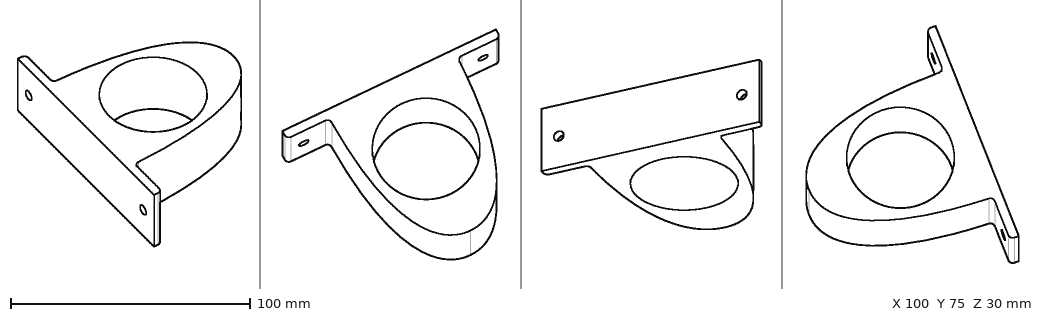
import cadquery as cq

plate_length = 100.0
plate_thickness = 4.0
height = 30.0
edge_radius = 2.0

holder_half_width = 30.0
holder_depth = 75.0
side_pull = 48.5
tip_pull = 18.6
bore_diameter = 45.0
bore_center_y = 34.2
root_fillet = 2.0

screw_hole_diameter = 4.5
screw_hole_spacing = 84.0


def make_plate():
    plate = cq.Workplane("XY").box(
        plate_length, plate_thickness, height, centered=(True, False, False)
    )
    return plate.edges("|Z and >Y").fillet(edge_radius)


def make_holder():
    base_right = (holder_half_width, 0)
    base_left = (-holder_half_width, 0)
    tip = (0, holder_depth)
    right_side = [base_right, (holder_half_width, side_pull), (tip_pull, holder_depth), tip]
    left_side = [tip, (-tip_pull, holder_depth), (-holder_half_width, side_pull), base_left]
    return (
        cq.Workplane("XY")
        .bezier(right_side)
        .bezier(left_side)
        .close()
        .extrude(height)
    )


def fillet_roots(body):
    reach = holder_half_width + root_fillet
    corners = cq.selectors.BoxSelector(
        (-reach, plate_thickness - root_fillet / 2, height / 4),
        (reach, plate_thickness + root_fillet / 2, 3 * height / 4),
    )
    return body.edges(corners).fillet(root_fillet)


def make_bore():
    return (
        cq.Workplane("XY")
        .center(0, bore_center_y)
        .circle(bore_diameter / 2)
        .extrude(height)
    )


def make_screw_holes():
    half_spacing = screw_hole_spacing / 2
    return (
        cq.Workplane("XZ")
        .pushPoints([(-half_spacing, height / 2), (half_spacing, height / 2)])
        .circle(screw_hole_diameter / 2)
        .extrude(-plate_thickness)
    )


body = fillet_roots(make_plate().union(make_holder()))
result = body.cut(make_bore()).cut(make_screw_holes())